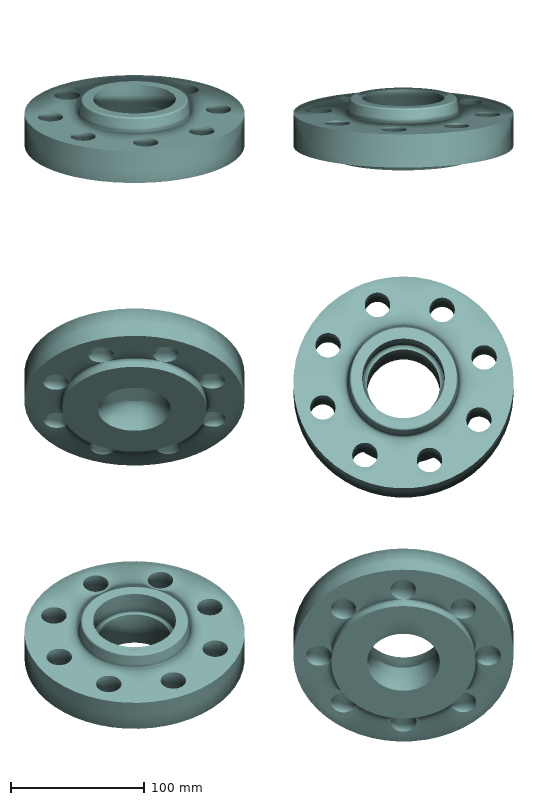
import cadquery as cq

flange_diameter = 165.1
flange_thickness = 25.4

facing_diameter = 107.95
facing_height = 7.93

hub_base_diameter = 84.0
hub_top_diameter = 80.2
hub_height = 11.2
hub_root_fillet = 1.5
hub_rim_fillet = 1.5

bore_diameter = 54.7
socket_diameter = 62.0
socket_depth = 17.0

bolt_hole_count = 8
bolt_circle_diameter = 127.0
bolt_hole_diameter = 19.05

flange_bottom = facing_height
flange_top = flange_bottom + flange_thickness
hub_top = flange_top + hub_height


def cylinder(diameter, bottom, top):
    return cq.Workplane("XY").workplane(offset=bottom).circle(diameter / 2).extrude(top - bottom)


def make_hub():
    return (
        cq.Workplane("XZ")
        .moveTo(0, flange_top)
        .lineTo(hub_base_diameter / 2, flange_top)
        .lineTo(hub_top_diameter / 2, hub_top)
        .lineTo(0, hub_top)
        .close()
        .revolve(360, (0, 0, 0), (0, 1, 0))
    )


def make_body():
    facing = cylinder(facing_diameter, 0, flange_bottom)
    flange = cylinder(flange_diameter, flange_bottom, flange_top)
    body = facing.union(flange).union(make_hub())
    hub_root = cq.selectors.RadiusNthSelector(1)
    body = body.edges("%CIRCLE").edges(hub_root).fillet(hub_root_fillet)
    return body.faces(">Z").edges().fillet(hub_rim_fillet)


def cut_stepped_bore(body):
    bore = cylinder(bore_diameter, 0, hub_top)
    socket = cylinder(socket_diameter, hub_top - socket_depth, hub_top)
    return body.cut(bore).cut(socket)


def cut_bolt_holes(body):
    holes = (
        cq.Workplane("XY")
        .workplane(offset=flange_bottom)
        .polarArray(bolt_circle_diameter / 2, 0, 360, bolt_hole_count)
        .circle(bolt_hole_diameter / 2)
        .extrude(flange_thickness)
    )
    return body.cut(holes)


result = cut_bolt_holes(cut_stepped_bore(make_body()))